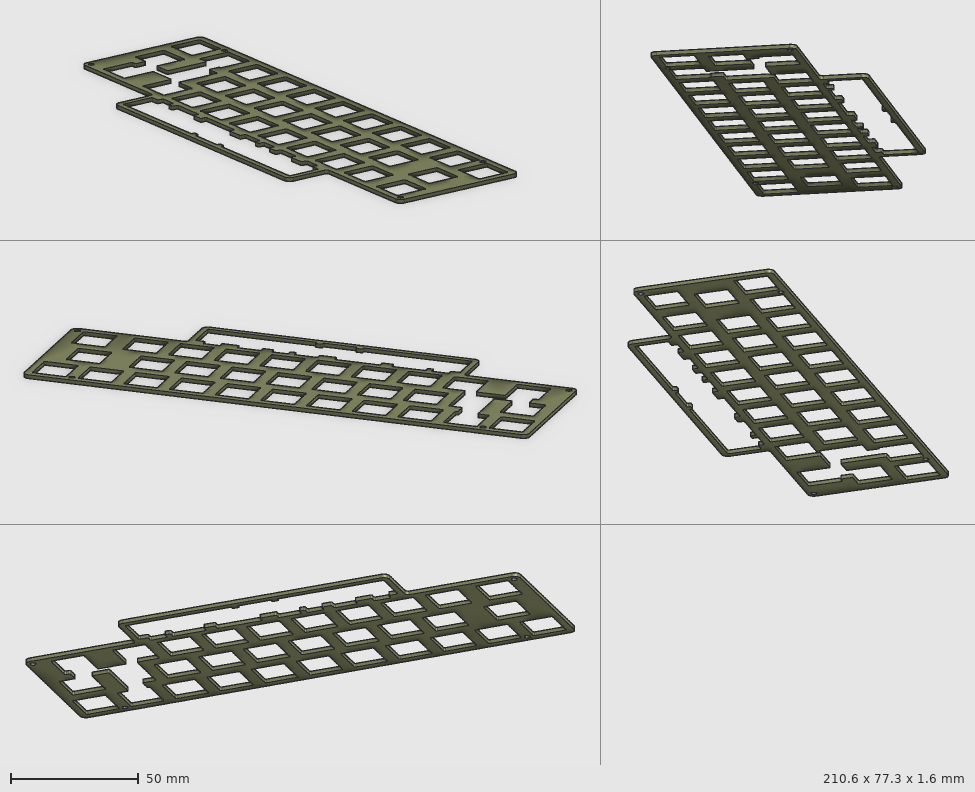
import cadquery as cq

length = 210.6
thickness = 1.6
key_columns = 11
key_rows = 3
grid_margin = 0.53
switch_gap = 5.0
key_pitch = (length - 2 * grid_margin) / key_columns
switch_size = key_pitch - switch_gap
corner_radius = 2.5
joint_radius = 1.5
inner_radius = 0.5
upper_channel_width = 8.2

grid_left = -key_columns * key_pitch / 2
depth = (key_rows + 1) * key_pitch + 2 * grid_margin
grid_top = depth / 2 - grid_margin

row_keys = [
    [0.5 + i for i in range(key_columns)],
    [0.625] + [1.75 + i for i in range(8)] + [10.125],
    [0.875] + [2.25 + i for i in range(8)] + [10.375],
]

frame_pitches = 6
frame_width = frame_pitches * key_pitch + 2 * grid_margin
frame_wall = 2.5
frame_bottom = -depth / 2
body_bottom = depth / 2 - key_rows * key_pitch - 2 * grid_margin

notches = [
    (3.8, 7.2),
    (13.5, 14.1),
    (32.5, 19.0),
    (58.5, 9.7),
    (70.8, 7.0),
    (82.1, 10.0),
    (99.2, 7.2),
]

bump_spacing = 16.9
bump_width = 2.7
bump_height = 1.5

hole_diameter = 2.3
corner_hole_inset = 2.7
back_hole_inset = 3.2


def key_x(pitches):
    return grid_left + pitches * key_pitch


def row_y(row):
    return grid_top - (row + 0.5) * key_pitch


def slab(left, right, bottom, top):
    """Full-thickness block between two X and two Y limits."""
    block = cq.Workplane("XY").box(right - left, top - bottom, thickness, centered=False)
    return block.translate((left, bottom, 0))


def make_blank():
    body = slab(-length / 2, length / 2, body_bottom, depth / 2).edges("|Z").fillet(corner_radius)
    frame = slab(-frame_width / 2, frame_width / 2, frame_bottom, body_bottom + corner_radius)
    frame = frame.edges("|Z and <Y").fillet(corner_radius)
    joint = cq.selectors.BoxSelector(
        (-frame_width / 2 - grid_margin, body_bottom - grid_margin, -thickness),
        (frame_width / 2 + grid_margin, body_bottom + grid_margin, 2 * thickness),
    )
    return body.union(frame).edges("|Z").edges(joint).fillet(joint_radius)


def make_switch_openings():
    """Square switch openings, with two channels that join those near the left end."""
    half = switch_size / 2
    openings = cq.Workplane("XY")
    for row, keys in enumerate(row_keys):
        for key in keys:
            x = key_x(key)
            y = row_y(row)
            openings = openings.union(slab(x - half, x + half, y - half, y + half))

    upper_left = key_x(row_keys[1][1]) - half
    upper = slab(upper_left, upper_left + upper_channel_width, row_y(1), row_y(0))
    lower_right = key_x(row_keys[1][1]) + half
    lower = slab(key_x(row_keys[1][0]), lower_right, row_y(2) + half, row_y(1) - half)
    return openings.union(upper).union(lower).edges("|Z").fillet(inner_radius)


def make_frame_opening():
    left = -frame_width / 2 + frame_wall
    floor = frame_bottom + frame_wall
    opening = slab(left, -left, floor, body_bottom - frame_wall)
    for start, width in notches:
        notch_left = left + start
        notch = slab(notch_left, notch_left + width, body_bottom - 2 * frame_wall, body_bottom)
        opening = opening.union(notch)
    for side in (-1, 1):
        x = side * bump_spacing / 2
        bump = slab(x - bump_width / 2, x + bump_width / 2, floor, floor + bump_height)
        opening = opening.cut(bump)
    return opening.edges("|Z").fillet(inner_radius)


def make_holes():
    corner_x = length / 2 - corner_hole_inset
    back_x = key_x(key_columns - 1)
    points = []
    for side in (-1, 1):
        points.append((side * corner_x, body_bottom + corner_hole_inset))
        points.append((side * back_x, depth / 2 - back_hole_inset))
    return cq.Workplane("XY").pushPoints(points).circle(hole_diameter / 2).extrude(thickness)


result = make_blank().cut(make_switch_openings()).cut(make_frame_opening()).cut(make_holes())